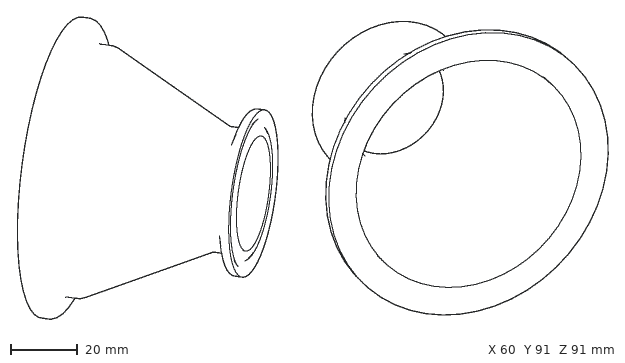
import cadquery as cq
import math

length = 60.0
wall = 1.6
large_rim_radius = 45.5
small_rim_radius = 25.3
large_tube_radius = 38.2
small_tube_radius = 19.0

large_tube_length = 10.7
small_tube_length = 10.3
large_bend_radius = 1.8
small_bend_radius = 2.55

ferrule_length = 8.2
flange_angle = math.radians(20)
rim_corner_start = 2.2
rim_corner_radius = 0.9
large_root_radius = 1.7
small_root_radius = 2.0

groove_inset = 3.7
groove_radius = 1.3
groove_half_width = 2.1


def ferrule(rim_radius, tube_radius, root_radius):
    """Solid flange and tube, with the end face at X = 0 and the tube toward +X."""
    rise = math.sin(flange_angle)
    run = math.cos(flange_angle)
    diagonal = math.radians(45) + flange_angle / 2

    corner_center = (rim_corner_start, rim_radius - rim_corner_radius)
    corner_end = (
        corner_center[0] + rim_corner_radius * run,
        corner_center[1] + rim_corner_radius * rise,
    )
    corner_middle = (
        corner_center[0] + rim_corner_radius * math.cos(diagonal),
        corner_center[1] + rim_corner_radius * math.sin(diagonal),
    )

    root_height = tube_radius + root_radius * (1 - rise)
    slope_run = (corner_end[1] - root_height) * math.tan(flange_angle)
    root_start = (corner_end[0] + slope_run, root_height)
    root_center = (root_start[0] + root_radius * run, tube_radius + root_radius)
    root_middle = (
        root_center[0] - root_radius * math.cos(diagonal),
        root_center[1] - root_radius * math.sin(diagonal),
    )

    profile = (
        cq.Workplane("XZ")
        .lineTo(0, rim_radius)
        .lineTo(rim_corner_start, rim_radius)
        .threePointArc(corner_middle, corner_end)
        .lineTo(*root_start)
        .threePointArc(root_middle, (root_center[0], tube_radius))
        .lineTo(ferrule_length, tube_radius)
        .lineTo(ferrule_length, 0)
        .close()
    )
    return profile.revolve(360, (0, 0, 0), (1, 0, 0))


def gasket_groove(rim_radius):
    """Ring to be cut from the end face at X = 0."""
    center = rim_radius - groove_inset
    blend_offset = groove_half_width / 2
    blend_angle = math.asin(blend_offset / groove_radius)
    blend_depth = groove_radius * (1 - math.cos(blend_angle))
    lip_middle_depth = groove_radius * (1 - math.cos(blend_angle / 2))
    lip_middle_offset = groove_half_width - groove_radius * math.sin(blend_angle / 2)
    profile = (
        cq.Workplane("XZ")
        .moveTo(0, center - groove_half_width)
        .threePointArc((lip_middle_depth, center - lip_middle_offset), (blend_depth, center - blend_offset))
        .threePointArc((2 * blend_depth, center), (blend_depth, center + blend_offset))
        .threePointArc((lip_middle_depth, center + lip_middle_offset), (0, center + groove_half_width))
        .close()
    )
    return profile.revolve(360, (0, 0, 0), (1, 0, 0))


def at_small_end(body):
    """Turn a body built at X = 0 to face +X at the small end."""
    return body.mirror("YZ").translate((length, 0, 0))


def reducer_core(inset):
    """Solid tube-cone-tube with rounded bends, set in from the outer surface."""
    large_radius = large_tube_radius - inset
    small_radius = small_tube_radius - inset
    cone_start = large_tube_length
    cone_end = length - small_tube_length
    cone_angle = math.atan2(large_radius - small_radius, cone_end - cone_start)
    shift = inset * math.tan(cone_angle / 2)
    cone_start -= shift
    cone_end -= shift

    def bend(corner_x, corner_radius, bend_radius, before, after, side):
        """Start, middle and end of a round; side is -1 with its center inward."""
        setback = bend_radius * math.tan(cone_angle / 2)
        start = (corner_x - setback * math.cos(before), corner_radius + setback * math.sin(before))
        end = (corner_x + setback * math.cos(after), corner_radius - setback * math.sin(after))
        reach = bend_radius * (1 / math.cos(cone_angle / 2) - 1)
        middle = (
            corner_x + side * reach * math.sin(cone_angle / 2),
            corner_radius + side * reach * math.cos(cone_angle / 2),
        )
        return start, middle, end

    large_bend = bend(cone_start, large_radius, large_bend_radius, 0, cone_angle, -1)
    small_bend = bend(cone_end, small_radius, small_bend_radius, cone_angle, 0, 1)
    profile = (
        cq.Workplane("XZ")
        .lineTo(0, large_radius)
        .lineTo(*large_bend[0])
        .threePointArc(*large_bend[1:])
        .lineTo(*small_bend[0])
        .threePointArc(*small_bend[1:])
        .lineTo(length, small_radius)
        .lineTo(length, 0)
        .close()
    )
    return profile.revolve(360, (0, 0, 0), (1, 0, 0))


result = (
    reducer_core(0)
    .union(ferrule(large_rim_radius, large_tube_radius, large_root_radius))
    .union(at_small_end(ferrule(small_rim_radius, small_tube_radius, small_root_radius)))
    .cut(reducer_core(wall))
    .cut(gasket_groove(large_rim_radius))
    .cut(at_small_end(gasket_groove(small_rim_radius)))
    .clean()
)